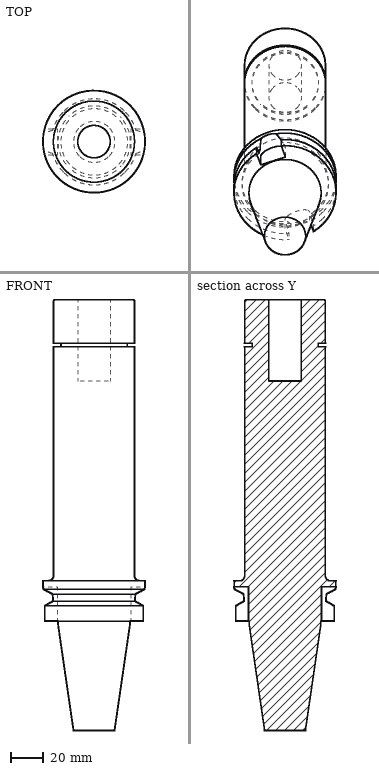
import cadquery as cq
import math


gauge_radius = 44.45 / 2
taper_length = 65.4
taper_ratio = 7 / 24
taper_end_radius = gauge_radius - taper_length * taper_ratio / 2

flange_radius = 63 / 2
flange_bottom = 2.0
flange_top = 27.0
groove_middle = 16.5
groove_root_radius = 53.2 / 2
groove_root_width = 4.4
groove_flank_angle = 30.0
groove_flank_rise = (flange_radius - groove_root_radius) * math.tan(math.radians(groove_flank_angle))
root_bottom = groove_middle - groove_root_width / 2
root_top = groove_middle + groove_root_width / 2

body_radius = 50.0 / 2
body_fillet = 3.0
body_top = 171.0
neck_radius = 41.0 / 2
nut_bottom = 173.0
nut_top = 200.0
nut_fillet = 1.0

bore_diameter = 20.0
bore_depth = 50.0

slot_width = 16.1
slot_floor = 22.5
slot_arc_center = 15.0


def make_holder():
    """Solid of revolution: shank, grooved flange, body, neck and nut."""
    profile = (
        cq.Workplane("XZ")
        .moveTo(0, -taper_length)
        .lineTo(taper_end_radius, -taper_length)
        .lineTo(gauge_radius, 0)
        .lineTo(gauge_radius, flange_bottom)
        .lineTo(flange_radius, flange_bottom)
        .lineTo(flange_radius, root_bottom - groove_flank_rise)
        .lineTo(groove_root_radius, root_bottom)
        .lineTo(groove_root_radius, root_top)
        .lineTo(flange_radius, root_top + groove_flank_rise)
        .lineTo(flange_radius, flange_top)
        .lineTo(body_radius + body_fillet, flange_top)
        .radiusArc((body_radius, flange_top + body_fillet), body_fillet)
        .lineTo(body_radius, body_top)
        .lineTo(neck_radius, body_top)
        .lineTo(neck_radius, nut_bottom)
        .lineTo(body_radius, nut_bottom)
        .lineTo(body_radius, nut_top - nut_fillet)
        .radiusArc((body_radius - nut_fillet, nut_top), -nut_fillet)
        .lineTo(0, nut_top)
        .close()
    )
    return profile.revolve(360, (0, 0, 0), (0, 1, 0))


def make_bore():
    """Blind bore entering from the nut face."""
    return cq.Workplane("XY").workplane(offset=nut_top).circle(bore_diameter / 2).extrude(-bore_depth)


def make_drive_slot(rotation):
    """Round-ended slot, open at the flange bottom, turned about Z by the given angle."""
    slot = (
        cq.Workplane("YZ")
        .workplane(offset=slot_floor)
        .moveTo(-slot_width / 2, flange_bottom)
        .lineTo(slot_width / 2, flange_bottom)
        .lineTo(slot_width / 2, slot_arc_center)
        .threePointArc((0, slot_arc_center + slot_width / 2), (-slot_width / 2, slot_arc_center))
        .close()
        .extrude(flange_radius - slot_floor)
    )
    return slot.rotate((0, 0, 0), (0, 0, 1), rotation)


result = make_holder().cut(make_bore())
for slot_rotation in (0, 180):
    result = result.cut(make_drive_slot(slot_rotation))